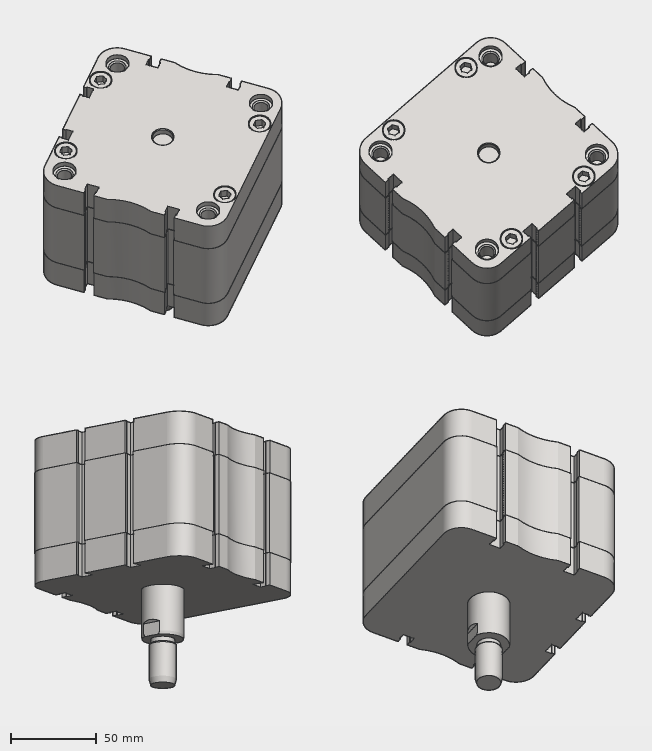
import cadquery as cq

housing_width = 113.5
housing_height = 87.5
overall_length = 145.0
cap_height = 19.7
cap_inset = 0.07
corner_radius = 12.0

scallop_depth = 2.5
scallop_half_width = 13.5

slot_mouth_width = 5.5
slot_inner_width = 6.7
slot_cap_clearance = 0.3
y_side_slot_offset = 25.0
y_side_slot_depth = 7.0
y_side_lip_depth = 3.0
x_side_slot_offset = 17.5
x_side_slot_depth = 5.8
x_side_lip_depth = 2.0

corner_hole_offset = 44.5
corner_counterbore_diameter = 13.5
corner_counterbore_depth = 3.5
corner_hole_diameter = 8.4
corner_hole_chamfer_diameter = 10.2
corner_hole_depth = 16.0

screw_offset_x = 49.3
screw_offset_y = 29.3
screw_head_diameter = 13.0
screw_face_diameter = 12.2
screw_head_height = 8.0
screw_recess = 0.5
hex_across_flats = 6.2
hex_depth = 5.1

centre_hole_diameter = 12.0
centre_hole_chamfer_diameter = 13.0
centre_hole_depth = 4.0

rod_diameter = 25.0
rod_shoulder_length = 29.9
rod_end_chamfer_height = 1.9
rod_end_chamfer = 0.5
flat_length = 7.8
flats_across = 22.0
thread_diameter = 16.0
relief_diameter = 14.0
relief_length = 2.6
tip_diameter = 14.0
tip_chamfer_height = 3.5

half_width = housing_width / 2
cap_width = housing_width - 2 * cap_inset
barrel_top = housing_height - cap_height
rod_tip_z = housing_height - overall_length
screw_seat_depth = screw_head_height + screw_recess


def four_points(x, y):
    return [(-x, -y), (x, -y), (x, y), (-x, y)]


screw_places = four_points(screw_offset_x, screw_offset_y)


def slot_cutter(depth, lip_depth, clearance, length, offset, angle):
    """T-slot prism cut into the +Y side at an X offset, then turned about Z by the angle."""
    full_depth = depth + clearance
    inner_depth = full_depth - lip_depth
    mouth_centre_y = half_width - full_depth / 2
    inner_centre_y = half_width - full_depth + inner_depth / 2
    mouth = (
        cq.Workplane("XY")
        .center(offset, mouth_centre_y)
        .rect(slot_mouth_width + 2 * clearance, full_depth)
        .extrude(length)
    )
    inner = (
        cq.Workplane("XY")
        .center(offset, inner_centre_y)
        .rect(slot_inner_width + 2 * clearance, inner_depth)
        .extrude(length)
    )
    return mouth.union(inner).rotate((0, 0, 0), (0, 0, 1), angle)


def scallop_cutter(face_y, length):
    """Shallow circular dip in the middle of a side face at the given Y."""
    return (
        cq.Workplane("XY")
        .moveTo(-scallop_half_width, face_y)
        .threePointArc((0, face_y - scallop_depth), (scallop_half_width, face_y))
        .close()
        .extrude(length)
    )


def housing_section(bottom_z, height, width, clearance):
    """One length of the housing, with scallops and slots on both Y sides, slots on the -X side."""
    section = cq.Workplane("XY").rect(width, width).extrude(height)
    section = section.edges("|Z").fillet(corner_radius)
    for angle in (0, 180):
        section = section.cut(scallop_cutter(width / 2, height).rotate((0, 0, 0), (0, 0, 1), angle))
    for offset in (-y_side_slot_offset, y_side_slot_offset):
        for angle in (0, 180):
            section = section.cut(
                slot_cutter(y_side_slot_depth, y_side_lip_depth, clearance, height, offset, angle)
            )
    for offset in (-x_side_slot_offset, x_side_slot_offset):
        section = section.cut(
            slot_cutter(x_side_slot_depth, x_side_lip_depth, clearance, height, offset, 90)
        )
    return section.translate((0, 0, bottom_z))


def countersink(points, large_diameter, small_diameter, top_z):
    """45 degree countersinks that narrow downward from the given height."""
    depth = (large_diameter - small_diameter) / 2
    return (
        cq.Workplane("XY", origin=(0, 0, top_z))
        .pushPoints(points)
        .circle(large_diameter / 2)
        .extrude(-depth, taper=45)
    )


def holes(points, diameter, depth, top_z=housing_height):
    """Round blind holes going down from the given height."""
    return (
        cq.Workplane("XY", origin=(0, 0, top_z))
        .pushPoints(points)
        .circle(diameter / 2)
        .extrude(-depth)
    )


def make_rear_cap():
    cap = housing_section(barrel_top, cap_height, cap_width, slot_cap_clearance)

    corners = four_points(corner_hole_offset, corner_hole_offset)
    counterbore_floor = housing_height - corner_counterbore_depth
    cap = cap.cut(holes(corners, corner_counterbore_diameter, corner_counterbore_depth))
    cap = cap.cut(holes(corners, corner_hole_diameter, corner_hole_depth))
    cap = cap.cut(countersink(corners, corner_hole_chamfer_diameter, corner_hole_diameter, counterbore_floor))

    cap = cap.cut(holes(screw_places, screw_head_diameter, screw_seat_depth))

    centre = [(0, 0)]
    cap = cap.cut(holes(centre, centre_hole_diameter, centre_hole_depth))
    return cap.cut(countersink(centre, centre_hole_chamfer_diameter, centre_hole_diameter, housing_height))


def make_barrel():
    return housing_section(cap_height, barrel_top - cap_height, housing_width, 0)


def make_front_cap():
    return housing_section(0, cap_height, cap_width, slot_cap_clearance)


def wrench_flat_cutter(side):
    """Material outside one wrench flat, ending in a 45 degree run-out at the top."""
    inner_x = flats_across / 2
    outer_x = rod_diameter / 2
    shoulder_z = -rod_shoulder_length
    flat_top = shoulder_z + flat_length
    outline = [
        (side * inner_x, shoulder_z),
        (side * inner_x, flat_top),
        (side * outer_x, flat_top + outer_x - inner_x),
        (side * outer_x, shoulder_z),
    ]
    return cq.Workplane("XZ").polyline(outline).close().extrude(rod_diameter / 2, both=True)


def make_piston_rod():
    """Stepped rod that hangs from the front cap, rooted inside it."""
    rod_radius = rod_diameter / 2
    thread_radius = thread_diameter / 2
    relief_radius = relief_diameter / 2
    shoulder_z = -rod_shoulder_length
    thread_top = shoulder_z - relief_length
    rod = (
        cq.Workplane("XZ")
        .moveTo(0, cap_height)
        .lineTo(rod_radius, cap_height)
        .lineTo(rod_radius, shoulder_z + rod_end_chamfer_height)
        .lineTo(rod_radius - rod_end_chamfer, shoulder_z)
        .lineTo(relief_radius, shoulder_z)
        .lineTo(relief_radius, thread_top)
        .lineTo(thread_radius, thread_top - (thread_radius - relief_radius))
        .lineTo(thread_radius, rod_tip_z + tip_chamfer_height)
        .lineTo(tip_diameter / 2, rod_tip_z)
        .lineTo(0, rod_tip_z)
        .close()
        .revolve(360, (0, 0, 0), (0, 1, 0))
    )
    return rod.cut(wrench_flat_cutter(1)).cut(wrench_flat_cutter(-1))


def make_cylinder():
    """Caps, barrel and rod as one solid."""
    return make_barrel().union(make_rear_cap()).union(make_front_cap()).union(make_piston_rod())


def make_screw(x, y):
    """Round head with a bevelled rim and a hexagon socket."""
    face_z = housing_height - screw_recess
    bevel = (screw_head_diameter - screw_face_diameter) / 2
    head = cq.Workplane("XY", origin=(x, y, face_z)).circle(screw_head_diameter / 2).extrude(-screw_head_height)
    head = head.faces(">Z").chamfer(bevel)
    socket = (
        cq.Workplane("XY", origin=(x, y, face_z))
        .polygon(6, hex_across_flats, circumscribed=True)
        .extrude(-hex_depth)
    )
    return head.cut(socket)


cylinder = make_cylinder()
screws = [make_screw(x, y) for x, y in screw_places]

result = cq.Compound.makeCompound([cylinder.solids().val(), *[screw.val() for screw in screws]])